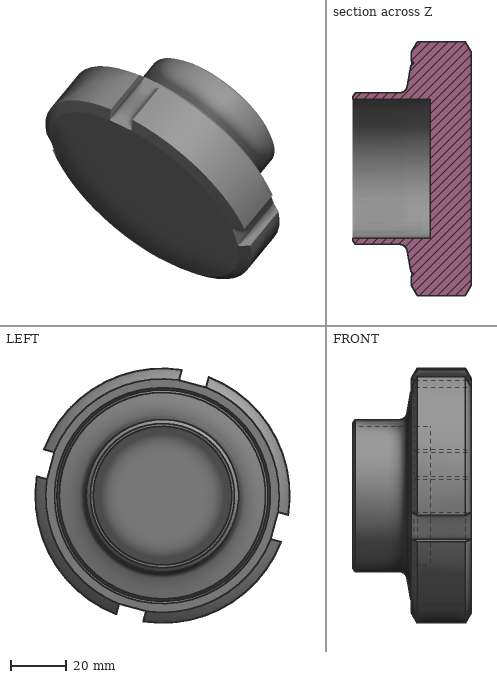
import cadquery as cq
import math


total_length = 43.0
nut_radius = 92 / 2

tube_radius = 55.0 / 2
bore_radius = 50.0 / 2
bore_depth = 28.1
mouth_radius = 26.0
mouth_bevel_length = 1.0
tube_length = 17.0

cone_angle = math.radians(10)
fillet_radius = 2.7
flange_edge_radius = 37.3
groove_radius = 38.2
groove_depth = 0.9

nut_width = 21.8
nut_face_x = total_length - nut_width
nut_mouth_radius = 78.0 / 2
nut_chamfer_length = 2.2
nut_chamfer_depth = nut_chamfer_length * math.tan(math.radians(60))

slot_count = 4
slot_width = 10.0
slot_floor_radius = 41.9
first_slot_angle = 15


def fillet_point(angle):
    """Point on the tube fillet after turning by angle away from the tube wall."""
    x = tube_length + fillet_radius * math.sin(angle)
    radius = tube_radius + fillet_radius * (1 - math.cos(angle))
    return x, radius


def make_body():
    """Revolve the tube, flange and nut as one half-section about X."""
    fillet_sweep = math.pi / 2 - cone_angle
    fillet_end_x, fillet_end_radius = fillet_point(fillet_sweep)
    flange_edge_x = fillet_end_x + (flange_edge_radius - fillet_end_radius) * math.tan(cone_angle)
    nut_edge_radius = nut_radius - nut_chamfer_depth
    return (
        cq.Workplane("XY")
        .moveTo(0, 0)
        .lineTo(0, mouth_radius)
        .lineTo(mouth_bevel_length, tube_radius)
        .lineTo(tube_length, tube_radius)
        .threePointArc(fillet_point(fillet_sweep / 2), (fillet_end_x, fillet_end_radius))
        .lineTo(flange_edge_x, flange_edge_radius)
        .lineTo(nut_face_x + groove_depth, groove_radius)
        .lineTo(nut_face_x, nut_mouth_radius)
        .lineTo(nut_face_x, nut_edge_radius)
        .lineTo(nut_face_x + nut_chamfer_length, nut_radius)
        .lineTo(total_length - nut_chamfer_length, nut_radius)
        .lineTo(total_length, nut_edge_radius)
        .lineTo(total_length, 0)
        .close()
        .revolve(360, (0, 0, 0), (1, 0, 0))
    )


def make_bore():
    """Blind bore entering from the tube mouth."""
    return cq.Workplane("YZ").circle(bore_radius).extrude(bore_depth)


def make_slot(angle):
    """Flat-floored slot through the full width of the nut rim."""
    cutter_height = nut_radius + slot_width - slot_floor_radius
    return (
        cq.Workplane("XY")
        .box(nut_width, cutter_height, slot_width, centered=(False, False, True))
        .translate((nut_face_x, slot_floor_radius, 0))
        .rotate((0, 0, 0), (1, 0, 0), angle)
    )


result = make_body().cut(make_bore())
for slot_index in range(slot_count):
    result = result.cut(make_slot(first_slot_angle + slot_index * 360 / slot_count))